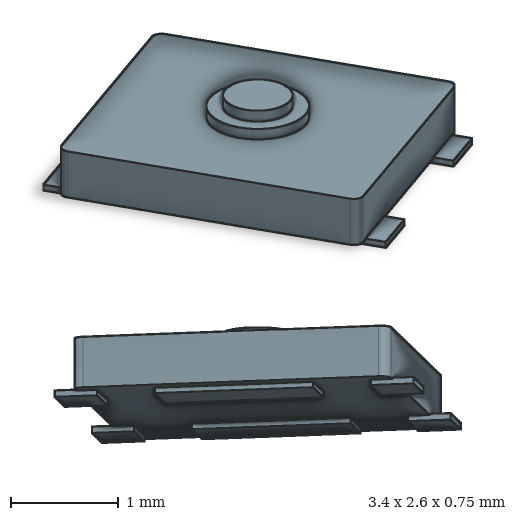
import cadquery as cq

body_length = 3.0
body_width = 2.6
body_bottom = 0.05
body_top = 0.53
corner_radius = 0.1

collar_diameter = 0.96
collar_top = 0.64
button_diameter = 0.65
button_top = 0.75

overall_length = 3.4
terminal_length = 0.4
terminal_width = 0.5
terminal_thickness = 0.06
terminal_row_spacing = 1.8
center_pad_length = 1.5

def disc(diameter, bottom, top):
    """Upright cylinder on the central axis."""
    return cq.Workplane("XY").workplane(offset=bottom).circle(diameter / 2).extrude(top - bottom)

def plate(length, thickness, x, y):
    """Flat terminal resting on the base plane."""
    return cq.Workplane("XY").center(x, y).rect(length, terminal_width).extrude(thickness)

body = (
    cq.Workplane("XY")
    .workplane(offset=body_bottom)
    .rect(body_length, body_width)
    .extrude(body_top - body_bottom)
    .edges("|Z")
    .fillet(corner_radius)
)

collar = disc(collar_diameter, body_top, collar_top)
button = disc(button_diameter, collar_top, button_top)
result = body.union(collar).union(button)

terminal_x = (overall_length - terminal_length) / 2
for row_y in (-terminal_row_spacing / 2, terminal_row_spacing / 2):
    result = result.union(plate(center_pad_length, body_bottom, 0, row_y))
    for x in (-terminal_x, terminal_x):
        result = result.union(plate(terminal_length, terminal_thickness, x, row_y))